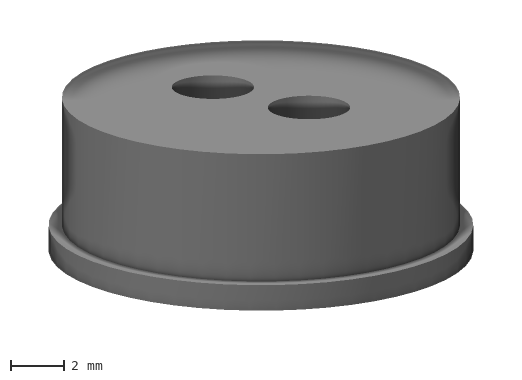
import cadquery as cq

flange_diameter = 16.0
flange_thickness = 1.0
body_diameter = 15.0
total_height = 6.0
hole_diameter = 3.1
hole_spacing = 4.5

body_height = total_height - flange_thickness


def make_flanged_plug():
    """Round plug standing on a thin, slightly wider flange."""
    flange = cq.Workplane("XY").circle(flange_diameter / 2).extrude(flange_thickness)
    return flange.faces(">Z").workplane().circle(body_diameter / 2).extrude(body_height)


def cut_through_holes(plug):
    """Two through holes, side by side along X and centred on the plug axis."""
    hole_centres = [(-hole_spacing / 2, 0), (hole_spacing / 2, 0)]
    return plug.faces(">Z").workplane().pushPoints(hole_centres).hole(hole_diameter)


result = cut_through_holes(make_flanged_plug())